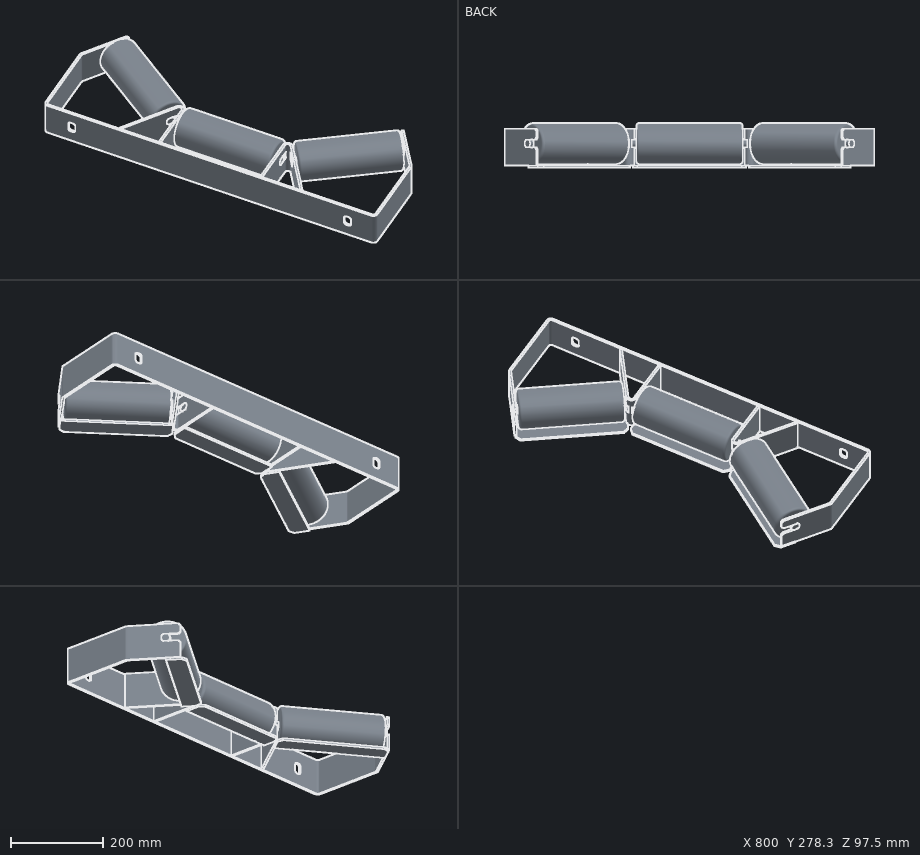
import cadquery as cq
import math


strip_height = 80.0
strip_thickness = 5.0
bend_radius = 10.0
frame_length = 800.0
trough_angle = 35.0

roller_radius = 44.5
roller_length = 230.0
roller_edge_radius = 6.0
roller_top = 92.5

shaft_diameter = 20.0
shaft_flat_width = 17.0
shaft_flat_start = 117.5
support_gap = 240.0
axis_to_tip = 32.5
tip_chamfer = 4.5
bracket_depth = 127.0

center_axis_y = 100.0
wing_center_x = 248.2
wing_center_y = 177.3

guard_thickness = 5.0
guard_chamfer = 10.0

mount_hole_offset = 332.5
mount_hole_width = 17.0
mount_hole_height = 25.0
mount_hole_corner = 6.0

axis_z = roller_top - roller_radius
shaft_length = support_gap + 2 * strip_thickness
guard_length = support_gap + strip_thickness
tilt = math.radians(trough_angle)

center_seat = (0.0, center_axis_y, 0.0)
left_seat = (-wing_center_x, wing_center_y, -trough_angle)
right_seat = (wing_center_x, wing_center_y, trough_angle)
seats = [left_seat, center_seat, right_seat]


def place(body, seat):
    """Move a body from the roller's own axes (X along the shaft) to its seat."""
    x, y, angle = seat
    return body.rotate((0, 0, 0), (0, 0, 1), angle).translate((x, y, 0))


def left_seat_point(along, across):
    """Plan point at a distance along and across the left roller's axis."""
    x = -wing_center_x + along * math.cos(tilt) + across * math.sin(tilt)
    y = wing_center_y - along * math.sin(tilt) + across * math.cos(tilt)
    return (x, y)


def left_point_at_x(along, x):
    """Plan point of the given X on the line square to the left axis."""
    base_x, _ = left_seat_point(along, 0)
    return left_seat_point(along, (x - base_x) / math.sin(tilt))


def left_point_at_y(along, y):
    """Plan point of the given Y on the line square to the left axis."""
    _, base_y = left_seat_point(along, 0)
    return left_seat_point(along, (y - base_y) / math.cos(tilt))


def round_corner(strip, point, radius):
    """Fillet the vertical edge of a strip that stands on a plan point."""
    x, y = point
    edge = cq.selectors.NearestToPointSelector((x, y, strip_height / 2))
    return strip.edges("|Z").edges(edge).fillet(radius)


def bent_strip(outer, inner, corners):
    """Upright strip between two plan paths, with concentric bends at the paired corners."""
    strip = cq.Workplane("XY").polyline(outer + inner[::-1]).close().extrude(strip_height)
    for index in corners:
        strip = round_corner(strip, outer[index], bend_radius)
        strip = round_corner(strip, inner[index], bend_radius - strip_thickness)
    return strip


def mirrored(points):
    """The same plan points on the +X side, in reverse order."""
    return [(-x, y) for x, y in reversed(points)]


def bar_along_x(radius, length):
    """Round bar along X, centred on the origin."""
    return cq.Workplane("YZ", origin=(-length / 2, 0, 0)).circle(radius).extrude(length)


def shaft_profile(length):
    """Round bar along X with a flat above and below."""
    bar = bar_along_x(shaft_diameter / 2, length)
    flats = cq.Workplane("XY").box(length, shaft_diameter, shaft_flat_width)
    return bar.intersect(flats).translate((0, 0, axis_z))


def shaft_slots(seat):
    """Cutter for the shaft slots, open on the +Y side, in a pair of roller supports."""
    opening_depth = 2 * axis_to_tip
    opening = cq.Workplane("XY").box(shaft_length, opening_depth, shaft_flat_width)
    opening = opening.translate((0, opening_depth / 2, axis_z))
    return place(shaft_profile(shaft_length).union(opening), seat)


def tip_chamfers(seat):
    """Cutter for the 45 degree chamfers at a frame tip: slot mouth and upper corner."""
    slot_half = shaft_flat_width / 2
    cutters = cq.Workplane("XY")
    for edge_z in (axis_z - slot_half, axis_z + slot_half, strip_height):
        wedge = (
            cq.Workplane("YZ", origin=(-shaft_length / 2, axis_to_tip, edge_z))
            .polyline([(-tip_chamfer, 0), (0, -tip_chamfer), (tip_chamfer, 0), (0, tip_chamfer)])
            .close()
            .extrude(shaft_length)
        )
        cutters = cutters.add(wedge)
    return place(cutters.combine(), seat)


def make_frame():
    outer_end = -shaft_length / 2
    inner_end = -support_gap / 2
    outer_x = -frame_length / 2
    inner_x = outer_x + strip_thickness
    outer = [
        left_seat_point(outer_end, axis_to_tip),
        left_point_at_x(outer_end, outer_x),
        (outer_x, 0),
    ]
    inner = [
        left_seat_point(inner_end, axis_to_tip),
        left_point_at_x(inner_end, inner_x),
        (inner_x, strip_thickness),
    ]
    frame = bent_strip(outer + mirrored(outer), inner + mirrored(inner), [1, 2, 3, 4])
    hole = (
        cq.Workplane("XZ", origin=(0, strip_thickness, strip_height / 2))
        .rect(mount_hole_width, mount_hole_height)
        .extrude(strip_thickness)
        .edges("|Y")
        .fillet(mount_hole_corner)
    )
    for side in (-1, 1):
        frame = frame.cut(hole.translate((side * mount_hole_offset, 0, 0)))
    for seat in (left_seat, right_seat):
        frame = frame.cut(shaft_slots(seat))
        frame = frame.cut(tip_chamfers(seat))
    return frame


def make_left_bracket():
    near = support_gap / 2
    far = shaft_length / 2
    foot_y = strip_thickness
    inner_crest = bracket_depth - strip_thickness
    foot_far = left_point_at_y(far, foot_y)
    foot_near = (
        foot_far[0] - strip_thickness * math.cos(tilt),
        foot_far[1] + strip_thickness * math.sin(tilt),
    )
    outer = [
        foot_near,
        left_point_at_y(near, bracket_depth),
        (-near, bracket_depth),
        (-near, foot_y),
    ]
    inner = [
        foot_far,
        left_point_at_y(far, inner_crest),
        (-far, inner_crest),
        (-far, foot_y),
    ]
    bracket = bent_strip(outer, inner, [1, 2])
    for seat in (left_seat, center_seat):
        bracket = bracket.cut(shaft_slots(seat))
    return bracket


def make_roller():
    """Rounded roller with its shaft, flattened where it sits in the slots."""
    drum = bar_along_x(roller_radius, roller_length)
    drum = drum.edges("%CIRCLE").fillet(roller_edge_radius)
    shaft = bar_along_x(shaft_diameter / 2, 2 * shaft_flat_start)
    round_parts = drum.union(shaft).translate((0, 0, axis_z))
    return round_parts.union(shaft_profile(shaft_length))


def make_guard():
    """Flat plate under the strips, from the roller's axis out to its +Y side."""
    return (
        cq.Workplane("XY")
        .box(guard_length, roller_radius, guard_thickness)
        .edges("|Z and >Y")
        .chamfer(guard_chamfer)
        .translate((0, roller_radius / 2, -guard_thickness / 2))
    )


frame = make_frame()
left_bracket = make_left_bracket()
right_bracket = left_bracket.mirror("YZ")
rollers = [place(make_roller(), seat) for seat in seats]
guards = [place(make_guard(), seat) for seat in seats]

bodies = [frame, left_bracket, right_bracket, *rollers, *guards]
result = cq.Compound.makeCompound([body.val() for body in bodies])